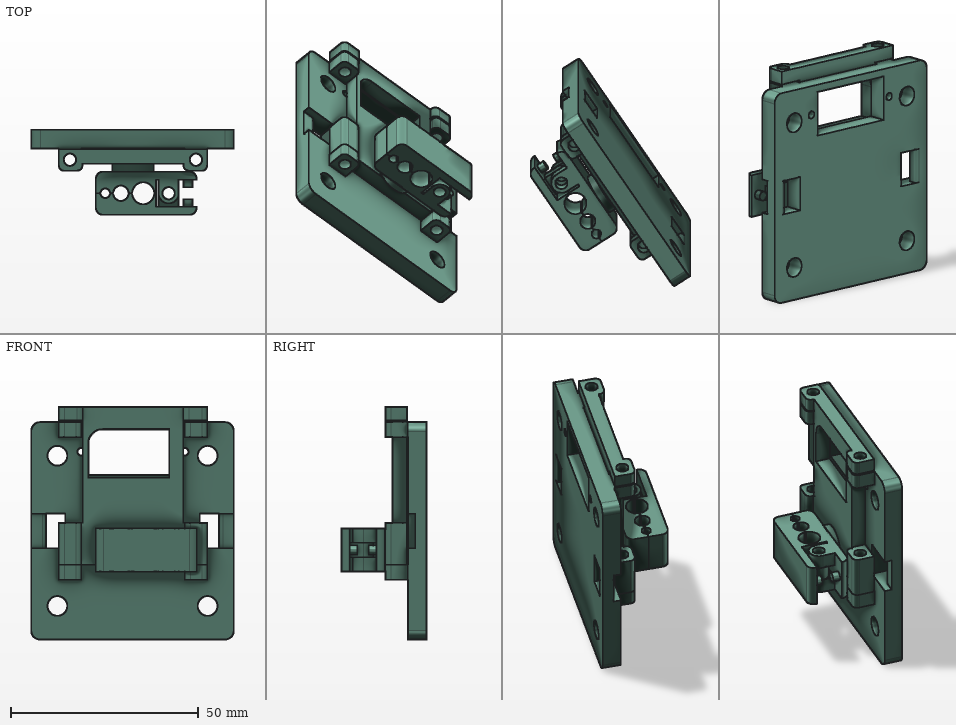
import cadquery as cq


PLATE_WIDTH = 54.0
PLATE_HEIGHT = 58.0
PLATE_THICKNESS = 5.0
PLATE_CORNER_RADIUS = 2.5
MOUNT_SPACING = 40.0
MOUNT_BOTTOM = 9.0
MOUNT_DIAMETER = 5.2
SMALL_HOLE_DIAMETER = 2.0
SMALL_HOLE_SPACING = 27.5
SMALL_HOLE_Z = 50.05
BASE_WINDOW_WIDTH = 23.3
BASE_WINDOW_BOTTOM = 43.9
BASE_WINDOW_TOP = 55.9

STRAP_BOTTOM = 24.35
STRAP_TOP = 33.6
STRAP_INNER = 17.9
STRAP_OUTER = 23.0
STRAP_RECESS_DEPTH = 2.0
STRAP_EDGE_RADIUS = 1.05

SLIDE_CENTER_X = 0.1
LUG_OUTER = 19.8
LUG_INNER = 13.75
LUG_FRONT = 11.0
LUG_RADIUS = 1.5
PIN_DIAMETER = 3.2
PIN_X = (LUG_OUTER + LUG_INNER) / 2
PIN_DEPTH = (LUG_FRONT + PLATE_THICKNESS) / 2
BASE_LUG_HEIGHT = 4.0

SLIDE_TOP = 62.0
SLIDE_BOTTOM = 19.95
SLIDE_WIDTH = 26.85
SLIDE_GAP = 0.2
SLIDE_BACK = PLATE_THICKNESS + SLIDE_GAP
SLIDE_FRONT = 9.1
UPPER_LUG_HEIGHT = 3.6
LOWER_LUG_TOP = 31.1
SLIDE_WINDOW_LEFT = -11.85
SLIDE_WINDOW_RIGHT = 9.75
SLIDE_WINDOW_BOTTOM = 43.1
SLIDE_WINDOW_TOP = 56.1
SLIDE_WINDOW_RADIUS = 4.15
BOSS_DIAMETER = 11.15

CLIP_LEFT = -9.8
CLIP_RIGHT = 17.1
CLIP_BACK = 11.15
CLIP_FRONT = 22.7
CLIP_BOTTOM = 18.1
CLIP_TOP = 29.65
CLIP_RADIUS = 2.0
CLIP_MIDDLE = (CLIP_BACK + CLIP_FRONT) / 2
CLIP_CENTER_Z = (CLIP_BOTTOM + CLIP_TOP) / 2
ARM_THICKNESS = 2.25
JAW_RIGHT = 6.25
JAW_HOLES = [(-7.25, 2.5), (-3.1, 4.0), (2.85, 5.8)]
JAW_HOLE_CHAMFER = 0.25
KNUCKLE_DIAMETER = 5.4
KNUCKLE_X = 9.6
KNUCKLE_COUNT = 3
PEG_X = 14.75
PEG_DIAMETER = 2.5
PEG_LENGTH = 2.0


def block(x_range, depth_range, z_range):
    """Box between two X values, two depths in front of the plate back, and two Z values."""
    (x0, x1), (d0, d1), (z0, z1) = x_range, depth_range, z_range
    return cq.Workplane("XY").box(x1 - x0, d1 - d0, z1 - z0, centered=False).translate((x0, -d1, z0))


def cylinder_z(x, depth, diameter, z_range):
    """Upright cylinder centred at an X value and a depth."""
    z0, z1 = z_range
    return cq.Workplane("XY", origin=(x, -depth, z0)).circle(diameter / 2).extrude(z1 - z0)


def cylinder_y(x, z, diameter, depth_range):
    """Cylinder along Y between two depths."""
    d0, d1 = depth_range
    return cq.Workplane("XZ", origin=(x, -d0, z)).circle(diameter / 2).extrude(d1 - d0)


def lug_pair(inner, back, z_range):
    """Two hinge lugs with rounded front edges, mirrored about the slide's centre line."""
    lug = block((inner, LUG_OUTER), (back, LUG_FRONT), z_range)
    lug = lug.faces("<Y").edges("|Z").fillet(LUG_RADIUS)
    return lug.union(lug.mirror("YZ")).translate((SLIDE_CENTER_X, 0, 0))


def cut_pin_holes(body):
    """Drill the two hinge pin holes through every lug of a body."""
    for x in (SLIDE_CENTER_X - PIN_X, SLIDE_CENTER_X + PIN_X):
        body = body.cut(cylinder_z(x, PIN_DEPTH, PIN_DIAMETER, (0, SLIDE_TOP)))
    return body


def cut_strap_slots(plate):
    """Cut a slot near each side, with a recess leading from it to the plate's side."""
    height = (STRAP_BOTTOM, STRAP_TOP)
    half_width = PLATE_WIDTH / 2
    bar_front = PLATE_THICKNESS - STRAP_RECESS_DEPTH
    opening = block((STRAP_INNER, half_width), (0, PLATE_THICKNESS), height)
    bar = block((STRAP_OUTER, half_width), (0, bar_front), height)
    bar = bar.faces("<X").edges("|Z").fillet(STRAP_EDGE_RADIUS)
    cutter = opening.cut(bar)
    return plate.cut(cutter).cut(cutter.mirror("YZ"))


def make_base():
    """Base plate with four lugs, a window, mounting holes and strap slots."""
    through = (0, PLATE_THICKNESS)
    half_width = PLATE_WIDTH / 2
    base = block((-half_width, half_width), through, (0, PLATE_HEIGHT))
    base = base.edges("|Y").fillet(PLATE_CORNER_RADIUS)
    base = cut_strap_slots(base)
    for x in (-MOUNT_SPACING / 2, MOUNT_SPACING / 2):
        for z in (MOUNT_BOTTOM, MOUNT_BOTTOM + MOUNT_SPACING):
            base = base.cut(cylinder_y(x, z, MOUNT_DIAMETER, through))
    for side in (-1, 1):
        x = SLIDE_CENTER_X + side * SMALL_HOLE_SPACING / 2
        base = base.cut(cylinder_y(x, SMALL_HOLE_Z, SMALL_HOLE_DIAMETER, through))
    window_x = (-BASE_WINDOW_WIDTH / 2, BASE_WINDOW_WIDTH / 2)
    base = base.cut(block(window_x, through, (BASE_WINDOW_BOTTOM, BASE_WINDOW_TOP)))
    for lug_top in (SLIDE_BOTTOM, PLATE_HEIGHT):
        base = base.union(lug_pair(LUG_INNER, PLATE_THICKNESS, (lug_top - BASE_LUG_HEIGHT, lug_top)))
    return cut_pin_holes(base)


def make_slide():
    """Slide plate with four lugs, a window and a round boss that carries the clip."""
    half_width = SLIDE_WIDTH / 2
    thickness = (SLIDE_BACK, SLIDE_FRONT)
    plate_x = (SLIDE_CENTER_X - half_width, SLIDE_CENTER_X + half_width)
    slide = block(plate_x, thickness, (SLIDE_BOTTOM, SLIDE_TOP))
    window_x = (SLIDE_WINDOW_LEFT, SLIDE_WINDOW_RIGHT)
    window = block(window_x, thickness, (SLIDE_WINDOW_BOTTOM, SLIDE_WINDOW_TOP))
    window = window.edges("|Y and <X and >Z").fillet(SLIDE_WINDOW_RADIUS)
    slide = slide.cut(window)
    slide = slide.union(lug_pair(half_width, SLIDE_BACK, (SLIDE_TOP - UPPER_LUG_HEIGHT, SLIDE_TOP)))
    lower = (SLIDE_BOTTOM, LOWER_LUG_TOP)
    slide = slide.union(lug_pair(LUG_INNER, SLIDE_BACK, lower))
    web_x = (SLIDE_CENTER_X - LUG_INNER, SLIDE_CENTER_X + LUG_INNER)
    slide = slide.union(block(web_x, thickness, lower))
    slide = slide.union(cylinder_y(SLIDE_CENTER_X, CLIP_CENTER_Z, BOSS_DIAMETER, (SLIDE_FRONT, CLIP_BACK)))
    return cut_pin_holes(slide)


def knuckle(arm_depth, level):
    """One level of the clip hinge: a block from an arm to the pin axis, ending in a round nose."""
    level_height = (CLIP_TOP - CLIP_BOTTOM) / KNUCKLE_COUNT
    bottom = CLIP_BOTTOM + level * level_height
    height = (bottom, bottom + level_height)
    radius = KNUCKLE_DIAMETER / 2
    depths = (min(arm_depth, CLIP_MIDDLE), max(arm_depth, CLIP_MIDDLE))
    body = block((KNUCKLE_X - radius, KNUCKLE_X + radius), depths, height)
    return body.union(cylinder_z(KNUCKLE_X, CLIP_MIDDLE, KNUCKLE_DIAMETER, height))


def cut_jaw_hole(half, x, diameter):
    """Cut a round hole centred on the middle plane, its edges there chamfered at 45 degrees."""
    height = (CLIP_BOTTOM, CLIP_TOP)
    half = half.cut(cylinder_z(x, CLIP_MIDDLE, diameter, height))
    edges = [(x - diameter / 2, -CLIP_MIDDLE), (x + diameter / 2, -CLIP_MIDDLE)]
    bevels = cq.Workplane("XY").workplane(offset=CLIP_BOTTOM).pushPoints(edges)
    return half.cut(bevels.polygon(4, 2 * JAW_HOLE_CHAMFER).extrude(CLIP_TOP - CLIP_BOTTOM))


def make_clip_half(outer, levels):
    """Clip half with its outer face at depth `outer` and hinge knuckles on the given levels."""
    height = (CLIP_BOTTOM, CLIP_TOP)
    inward = 1 if outer < CLIP_MIDDLE else -1
    arm_inner = outer + inward * ARM_THICKNESS
    peg_end = arm_inner + inward * PEG_LENGTH

    arm = block((CLIP_LEFT, CLIP_RIGHT), sorted((outer, arm_inner)), height)
    outer_face = ">Y" if inward > 0 else "<Y"
    arm = arm.faces(outer_face).edges("|Z").fillet(CLIP_RADIUS)
    jaw = block((CLIP_LEFT, JAW_RIGHT), sorted((arm_inner, CLIP_MIDDLE)), height)
    half = arm.union(jaw)
    for x, diameter in JAW_HOLES:
        half = cut_jaw_hole(half, x, diameter)
    for level in levels:
        half = half.union(knuckle(arm_inner, level))
    half = half.cut(cylinder_z(KNUCKLE_X, CLIP_MIDDLE, PIN_DIAMETER, height))
    return half.union(cylinder_y(PEG_X, CLIP_CENTER_Z, PEG_DIAMETER, sorted((arm_inner, peg_end))))


base = make_base()
slide = make_slide()
clip_back = make_clip_half(CLIP_BACK, levels=(0, 2))
clip_front = make_clip_half(CLIP_FRONT, levels=(1,))

result = cq.Compound.makeCompound([base.val(), slide.val(), clip_back.val(), clip_front.val()])